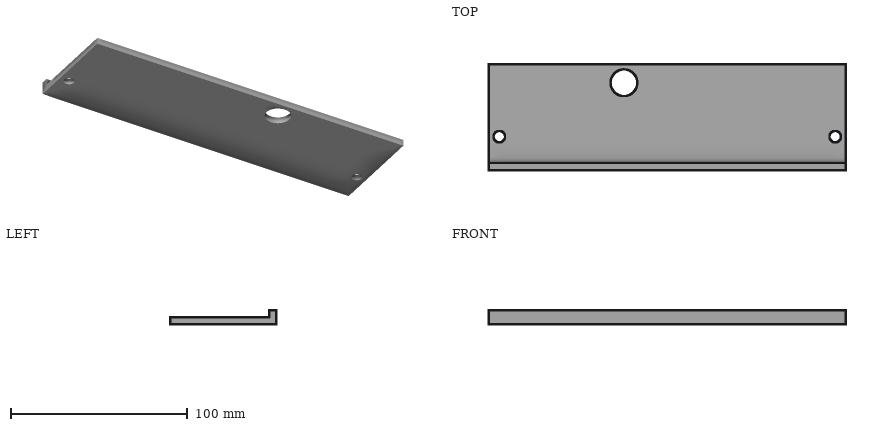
import cadquery as cq

length = 202.0
width = 60.0
plate_thickness = 4.0

lip_width = 4.0
overall_height = 8.0

mounting_hole_diameter = 6.4
mounting_hole_end_distance = 6.0
mounting_hole_y = 19.0

opening_diameter = 15.0
opening_x = 76.5
opening_y = 49.5


def make_body():
    """L-shaped section in the YZ plane, extruded along the length."""
    return (
        cq.Workplane("YZ")
        .moveTo(0, 0)
        .lineTo(width, 0)
        .lineTo(width, plate_thickness)
        .lineTo(lip_width, plate_thickness)
        .lineTo(lip_width, overall_height)
        .lineTo(0, overall_height)
        .close()
        .extrude(length)
    )


def make_through_cutter(diameter, centers):
    """Vertical cylinders that pass through the plate at the given centers."""
    return (
        cq.Workplane("XY")
        .pushPoints(centers)
        .circle(diameter / 2)
        .extrude(plate_thickness)
    )


mounting_hole_centers = [
    (x, mounting_hole_y)
    for x in (mounting_hole_end_distance, length - mounting_hole_end_distance)
]

result = (
    make_body()
    .cut(make_through_cutter(mounting_hole_diameter, mounting_hole_centers))
    .cut(make_through_cutter(opening_diameter, [(opening_x, opening_y)]))
)